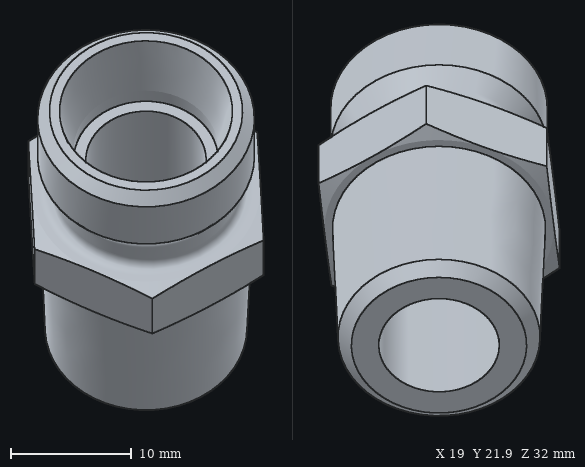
import cadquery as cq
import math

total_height = 32.0
hex_bottom = 15.23
hex_height = 5.8
hex_top = hex_bottom + hex_height
gauge_height = 6.1

across_flats = 19.0
hex_chamfer_angle = math.radians(15)

taper_per_height = 1 / 32
gauge_radius = 8.55
end_chamfer_height = 1.0
end_face_radius = 7.25

collar_radius = 18.0 / 2
collar_chamfer = 1.0
collar_bottom = 25.7
neck_radius = 15.7 / 2
neck_fillet = 1.0
collar_flank_angle = math.radians(30)

bore_radius = 10.0 / 2
socket_radius = 12.0 / 2
mouth_radius = 7.17
cone_half_angle = math.radians(12)
socket_depth = 7.0


def thread_radius(height):
    return gauge_radius + (height - gauge_height) * taper_per_height


def make_turned_body():
    """Revolved outside shape, without the hexagon."""
    flank_height = (collar_radius - neck_radius) / math.tan(collar_flank_angle)
    fillet_mid = neck_fillet * (1 - math.sqrt(0.5))
    blend_center_x = neck_radius + neck_fillet
    tangent_length = neck_fillet * math.tan(collar_flank_angle / 2)
    blend_start = collar_bottom - flank_height - tangent_length

    def blend_point(angle):
        return (
            blend_center_x - neck_fillet * math.cos(angle),
            blend_start + neck_fillet * math.sin(angle),
        )

    return (
        cq.Workplane("XZ")
        .moveTo(0, 0)
        .lineTo(end_face_radius, 0)
        .lineTo(thread_radius(end_chamfer_height), end_chamfer_height)
        .lineTo(thread_radius(hex_bottom), hex_bottom)
        .lineTo(neck_radius + neck_fillet, hex_top)
        .threePointArc(
            (neck_radius + fillet_mid, hex_top + fillet_mid),
            (neck_radius, hex_top + neck_fillet),
        )
        .lineTo(neck_radius, blend_start)
        .threePointArc(blend_point(collar_flank_angle / 2), blend_point(collar_flank_angle))
        .lineTo(collar_radius, collar_bottom)
        .lineTo(collar_radius, total_height - collar_chamfer)
        .lineTo(collar_radius - collar_chamfer, total_height)
        .lineTo(0, total_height)
        .close()
        .revolve(360, (0, 0, 0), (0, 1, 0))
    )


def make_hexagon():
    """Hexagon with corners on Y, its corners turned down at both faces."""
    across_corners = across_flats / math.cos(math.pi / 6)
    flat_radius = across_flats / 2
    corner_radius = across_corners / 2
    corner_drop = (corner_radius - flat_radius) * math.tan(hex_chamfer_angle)
    prism = (
        cq.Workplane("XY", origin=(0, 0, hex_bottom))
        .polygon(6, across_corners)
        .extrude(hex_height)
        .rotate((0, 0, 0), (0, 0, 1), 30)
    )
    turning_envelope = (
        cq.Workplane("XZ")
        .moveTo(0, hex_bottom)
        .lineTo(flat_radius, hex_bottom)
        .lineTo(corner_radius, hex_bottom + corner_drop)
        .lineTo(corner_radius, hex_top - corner_drop)
        .lineTo(flat_radius, hex_top)
        .lineTo(0, hex_top)
        .close()
        .revolve(360, (0, 0, 0), (0, 1, 0))
    )
    return prism.intersect(turning_envelope)


def make_bore():
    """Through bore with a tube socket and a sealing cone at the top."""
    cone_depth = (mouth_radius - socket_radius) / math.tan(cone_half_angle)
    return (
        cq.Workplane("XZ")
        .moveTo(0, 0)
        .lineTo(bore_radius, 0)
        .lineTo(bore_radius, total_height - socket_depth)
        .lineTo(socket_radius, total_height - socket_depth)
        .lineTo(socket_radius, total_height - cone_depth)
        .lineTo(mouth_radius, total_height)
        .lineTo(0, total_height)
        .close()
        .revolve(360, (0, 0, 0), (0, 1, 0))
    )


result = make_turned_body().union(make_hexagon()).cut(make_bore())